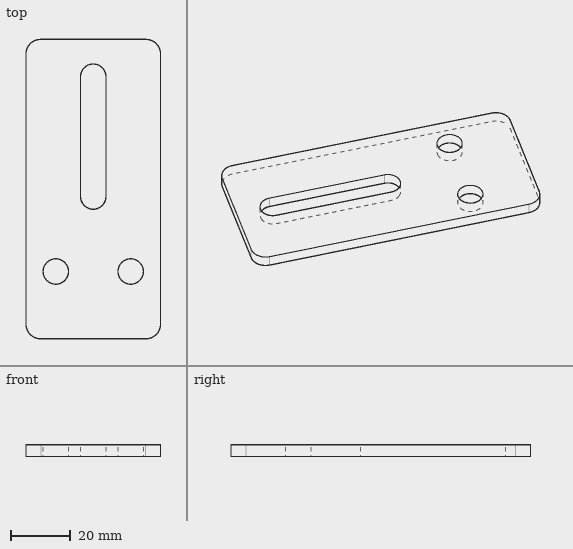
import cadquery as cq

width = 45.0
length = 100.0
thickness = 4.0
corner_radius = 5.0

hole_diameter = 8.4
hole_spacing = 25.0
hole_y = -27.5

slot_travel = 40.0
slot_y = 17.5

plate = (
    cq.Workplane("XY")
    .rect(width, length)
    .extrude(thickness)
    .edges("|Z")
    .fillet(corner_radius)
)

holes = (
    cq.Workplane("XY")
    .pushPoints([(side * hole_spacing / 2, hole_y) for side in (-1, 1)])
    .circle(hole_diameter / 2)
    .extrude(thickness)
)

slot = (
    cq.Workplane("XY")
    .center(0, slot_y)
    .slot2D(slot_travel + hole_diameter, hole_diameter, angle=90)
    .extrude(thickness)
)

result = plate.cut(holes).cut(slot)